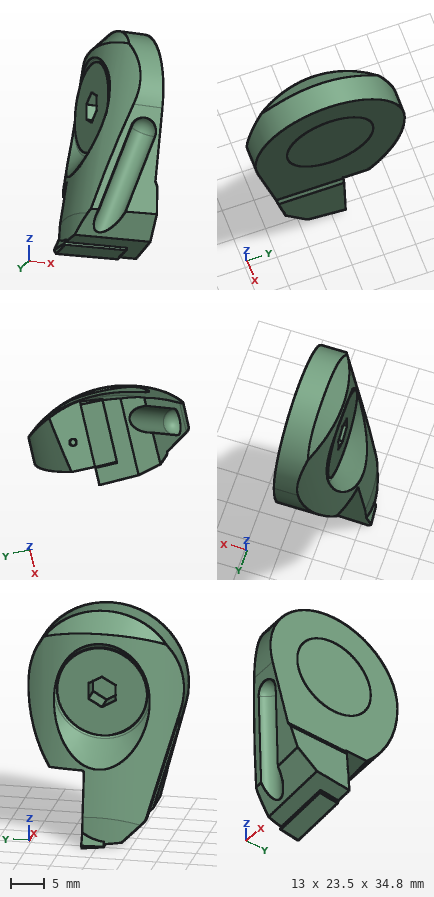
import cadquery as cq
import math

head_radius = 11.75
back_reach = 1.05
front_reach = 15.65

left_arc_radius = 18.65
flank_angle = 15.0
blank_bottom_z = -24.32
rake_face_y = 2.1

pocket_back_z = -13.4
pocket_roof_slope = 0.2
pocket_corner_radius = 0.3
coolant_diameter, coolant_depth = 1.0, 2.1
coolant_x, coolant_y = -4.17, 4.95

step_top_z, step_bottom_z, step_depth = -13.62, -14.38, 0.38
foot_z = -22.13
foot_slope_x, foot_slope_y = 0.039, -0.11

bevel_top_z = -18.3
bevel_slope_x, bevel_slope_y = 0.035, -0.94

crown_radius = 17.72
top_crown_radius = 16.15
nose_crown_radius = 18.95
crest_top = (-6.85, 9.0)
crest_bottom = (-11.15, -18.2)
top_lean = 45.0
nose_lean = 4.0

screw_diameter = 13.6
screw_face_x = -6.85
chamfer_base_x = -6.43
chamfer_mouth_x, chamfer_mouth_radius = -6.85, 7.25
cone_mouth_x, cone_mouth_radius = -10.42, 11.57
hex_across_flats, hex_depth = 4.1, 3.47

groove_radius = 1.98
groove_x, groove_z = -2.65, -6.67
groove_lean = 0.311
groove_length = 24.32

tip_width = 3.3
tip_profile = [(-10.98, -20.15), (-12.0, -22.45), (-11.65, -23.0), (-1.88, -22.55), (-1.67, -22.3), (-1.88, -21.12)]
tip_back_profile = [(-10.6, -20.15), (-11.67, -22.48), (-11.55, -22.65), (-1.88, -22.25), (-1.67, -22.03), (-1.88, -21.12)]


def flank_y(z):
    """Y of the slanted flank, which is tangent to the round head."""
    angle = math.radians(flank_angle)
    return -(head_radius + z * math.sin(angle)) / math.cos(angle)


def left_arc_y(z):
    return head_radius - left_arc_radius + math.sqrt(left_arc_radius**2 - z**2)


def make_blank():
    angle = math.radians(flank_angle)
    tangent = (-head_radius * math.cos(angle), -head_radius * math.sin(angle))
    return (
        cq.Workplane("YZ", origin=(-front_reach, 0, 0))
        .moveTo(head_radius, 0)
        .threePointArc((0, head_radius), tangent)
        .lineTo(flank_y(blank_bottom_z), blank_bottom_z)
        .lineTo(rake_face_y, blank_bottom_z)
        .lineTo(rake_face_y, pocket_back_z)
        .lineTo(left_arc_y(pocket_back_z), pocket_back_z)
        .threePointArc((left_arc_y(pocket_back_z / 2), pocket_back_z / 2), (head_radius, 0))
        .close()
        .extrude(front_reach + back_reach + 0.35)
    )


def back_envelope():
    """Side profile with the step and the foot leaning out behind the back face."""
    outline = [
        (-front_reach, head_radius + 0.35),
        (0, head_radius + 0.35),
        (0, step_top_z),
        (step_depth, step_bottom_z),
        (back_reach, foot_z),
        (back_reach, blank_bottom_z),
        (-front_reach, blank_bottom_z),
    ]
    return cq.Workplane("XZ").polyline(outline).close().extrude(2 * head_radius, both=True)


def below_plane(y, z, slope_x, slope_y):
    """Block below a sloping plane that passes through (0, y, z)."""
    plane = cq.Plane(origin=(0, y, z), xDir=(1, 0, slope_x), normal=(slope_x, slope_y, -1))
    size = 4 * head_radius
    return cq.Workplane(plane).rect(size, size).extrude(size)


def crown(crest, lean, radius):
    """Cylinder touching the crest point, its axis tilted by lean degrees from +Z towards +X."""
    angle = math.radians(lean)
    length = 8 * head_radius
    along = cq.Vector(math.sin(angle), 0, math.cos(angle))
    inward = cq.Vector(math.cos(angle), 0, -math.sin(angle))
    start = cq.Vector(crest[0], 0, crest[1]) + inward * radius - along * (length / 2)
    return cq.Workplane(cq.Solid.makeCylinder(radius, length, start, along))


def pocket_cutter():
    def roof_z(x):
        return pocket_back_z - pocket_roof_slope * x

    depth = back_reach + 0.35
    outline = [
        (depth, roof_z(depth)),
        (-front_reach, roof_z(-front_reach)),
        (-front_reach, blank_bottom_z),
        (depth, blank_bottom_z),
    ]
    pocket = (
        cq.Workplane("XZ", origin=(0, rake_face_y, 0))
        .polyline(outline)
        .close()
        .extrude(-2 * head_radius)
    )
    roof_corner = pocket.faces("<Y").edges(">Z")
    return roof_corner.fillet(pocket_corner_radius)


def coolant_hole():
    """Blind hole square to the pocket roof."""
    mouth = cq.Vector(coolant_x, coolant_y, pocket_back_z - pocket_roof_slope * coolant_x)
    normal = cq.Vector(pocket_roof_slope, 0, 1).normalized()
    overlap = 0.35
    drill = cq.Solid.makeCylinder(
        coolant_diameter / 2, coolant_depth + overlap, mouth - normal * overlap, normal
    )
    return cq.Workplane(drill)


def screw_recess():
    """Through bore with a two-stage conical mouth, turned about the screw axis."""
    bore_radius = screw_diameter / 2
    outline = [
        (0.35, 0),
        (0.35, bore_radius),
        (chamfer_base_x, bore_radius),
        (chamfer_mouth_x, chamfer_mouth_radius),
        (cone_mouth_x, cone_mouth_radius),
        (cone_mouth_x, 0),
    ]
    return cq.Workplane("XY").polyline(outline).close().revolve(360, (0, 0), (1, 0))


def chip_groove():
    """Half-round groove with a ball end, centred on the flank plane."""
    start = cq.Vector(groove_x, flank_y(groove_z), groove_z)
    direction = cq.Vector(-groove_lean, math.tan(math.radians(flank_angle)), -1)
    channel = cq.Solid.makeCylinder(groove_radius, groove_length, start, direction)
    ball = cq.Workplane("XY", origin=start.toTuple()).sphere(groove_radius)
    return ball.union(cq.Workplane(channel))


def make_tip():
    """Cutting tip tapering away from the rake face, for clearance."""
    front = cq.Wire.makePolygon([cq.Vector(x, rake_face_y, z) for x, z in tip_profile], close=True)
    back_y = rake_face_y - tip_width
    back = cq.Wire.makePolygon([cq.Vector(x, back_y, z) for x, z in tip_back_profile], close=True)
    return cq.Workplane(cq.Solid.makeLoft([front, back], True))


def make_housing():
    crest_lean = math.degrees(
        math.atan2(crest_top[0] - crest_bottom[0], crest_top[1] - crest_bottom[1])
    )
    body = make_blank().intersect(back_envelope())
    body = body.cut(below_plane(rake_face_y, foot_z, foot_slope_x, foot_slope_y))
    body = body.cut(below_plane(flank_y(bevel_top_z), bevel_top_z, bevel_slope_x, bevel_slope_y))
    body = body.intersect(crown(crest_top, crest_lean, crown_radius))
    body = body.intersect(crown(crest_top, top_lean, top_crown_radius))
    body = body.intersect(crown(crest_bottom, nose_lean, nose_crown_radius))
    body = body.cut(pocket_cutter()).cut(coolant_hole())
    body = body.cut(screw_recess()).cut(chip_groove())
    return body.union(make_tip())


def make_screw():
    """Screw head filling the bore, with a hexagon socket in its face."""
    head = cq.Workplane("YZ").circle(screw_diameter / 2).extrude(screw_face_x)
    across_corners = hex_across_flats / math.cos(math.radians(30))
    socket = (
        cq.Workplane("YZ", origin=(screw_face_x, 0, 0))
        .transformed(rotate=(0, 0, 90))
        .polygon(6, across_corners)
        .extrude(hex_depth)
    )
    return head.cut(socket)


housing = make_housing()
screw = make_screw()
result = cq.Compound.makeCompound([housing.val(), screw.val()])